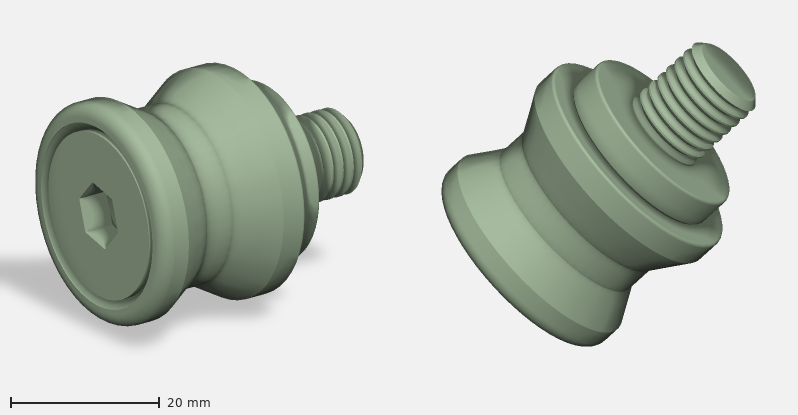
import cadquery as cq
import math


rim_radius = 15.5
rim_fillet = 1.8
rim_length = 4.15
neck_radius = 12.55
neck_length = 4.2
flange_radius = 16.0
flange_length = 3.65
flare_angle = 30.0
collar_length = 4.85
collar_chamfer = 0.32
collar_foot = 0.1
edge_fillet = 0.4

flare_slope = math.tan(math.radians(flare_angle))
neck_start = rim_length + (rim_radius - neck_radius) / flare_slope
neck_end = neck_start + neck_length
flange_start = neck_end + (flange_radius - neck_radius) / flare_slope
flange_end = flange_start + flange_length
roller_length = flange_end + collar_length

mouth_radius = 12.92
mouth_depth = 0.2

overall_length = 40.4
shank_radius = 6.0
head_radius = 11.65
head_front = 0.32
end_chamfer = 1.0

head_seat = mouth_depth + mouth_radius - head_radius
shank_start = mouth_depth + mouth_radius - shank_radius

groove_count = 7
groove_pitch = 1.65
groove_depth = 0.95
groove_half_width = 0.7
first_groove_inset = 1.65

socket_width = 8.0
socket_depth = 4.45
socket_turn = -12.0
socket_tip_depth = 2.3

ARC_MIDDLE = 1 - math.sqrt(0.5)


def turned(profile):
    """Revolve a closed (radius, Y) profile about the Y axis."""
    return profile.close().revolve(360, (0, 0, 0), (0, 1, 0))


def make_roller():
    rim_bulge = rim_fillet * ARC_MIDDLE
    edge_bulge = edge_fillet * ARC_MIDDLE
    profile = (
        cq.Workplane("XY")
        .moveTo(mouth_radius, 0)
        .lineTo(rim_radius - rim_fillet, 0)
        .threePointArc((rim_radius - rim_bulge, rim_bulge), (rim_radius, rim_fillet))
        .lineTo(rim_radius, rim_length)
        .lineTo(neck_radius, neck_start)
        .lineTo(neck_radius, neck_end)
        .lineTo(flange_radius, flange_start)
        .lineTo(flange_radius, flange_end - edge_fillet)
        .threePointArc(
            (flange_radius - edge_bulge, flange_end - edge_bulge),
            (flange_radius - edge_fillet, flange_end),
        )
        .lineTo(neck_radius - collar_chamfer, flange_end)
        .lineTo(neck_radius - collar_chamfer, flange_end + collar_foot)
        .lineTo(neck_radius, flange_end + collar_foot + collar_chamfer)
        .lineTo(neck_radius, roller_length - edge_fillet)
        .threePointArc(
            (neck_radius - edge_bulge, roller_length - edge_bulge),
            (neck_radius - edge_fillet, roller_length),
        )
        .lineTo(shank_radius, roller_length)
        .lineTo(shank_radius, shank_start)
        .lineTo(mouth_radius, mouth_depth)
    )
    return turned(profile)


def make_screw_blank():
    profile = (
        cq.Workplane("XY")
        .moveTo(0, head_front)
        .lineTo(head_radius, head_front)
        .lineTo(head_radius, head_seat)
        .lineTo(shank_radius, shank_start)
        .lineTo(shank_radius, overall_length - end_chamfer)
        .lineTo(shank_radius - end_chamfer, overall_length)
        .lineTo(0, overall_length)
    )
    return turned(profile)


def make_thread_groove(middle):
    """V-shaped ring whose flanks run on past the shank surface."""
    overshoot = 2.0
    outer_half_width = groove_half_width * overshoot
    root_radius = shank_radius - groove_depth
    outer_radius = root_radius + groove_depth * overshoot
    profile = (
        cq.Workplane("XY")
        .moveTo(root_radius, middle)
        .lineTo(outer_radius, middle + outer_half_width)
        .lineTo(outer_radius, middle - outer_half_width)
    )
    return turned(profile)


def make_socket():
    """Hexagonal recess that ends in a conical drill point."""
    corner_diameter = socket_width / math.cos(math.pi / 6)
    bottom = head_front + socket_depth
    hexagon = (
        cq.Workplane("XZ", origin=(0, head_front, 0))
        .transformed(rotate=(0, 0, socket_turn))
        .polygon(6, corner_diameter)
        .extrude(-socket_depth)
    )
    tip_profile = (
        cq.Workplane("XY")
        .moveTo(0, bottom)
        .lineTo(socket_width / 2, bottom)
        .lineTo(0, bottom + socket_tip_depth)
    )
    return hexagon.union(turned(tip_profile))


def make_screw():
    screw = make_screw_blank()
    for index in range(groove_count):
        middle = overall_length - first_groove_inset - index * groove_pitch
        screw = screw.cut(make_thread_groove(middle))
    return screw.cut(make_socket())


roller = make_roller()
screw = make_screw()

result = cq.Compound.makeCompound([roller.val(), screw.val()])